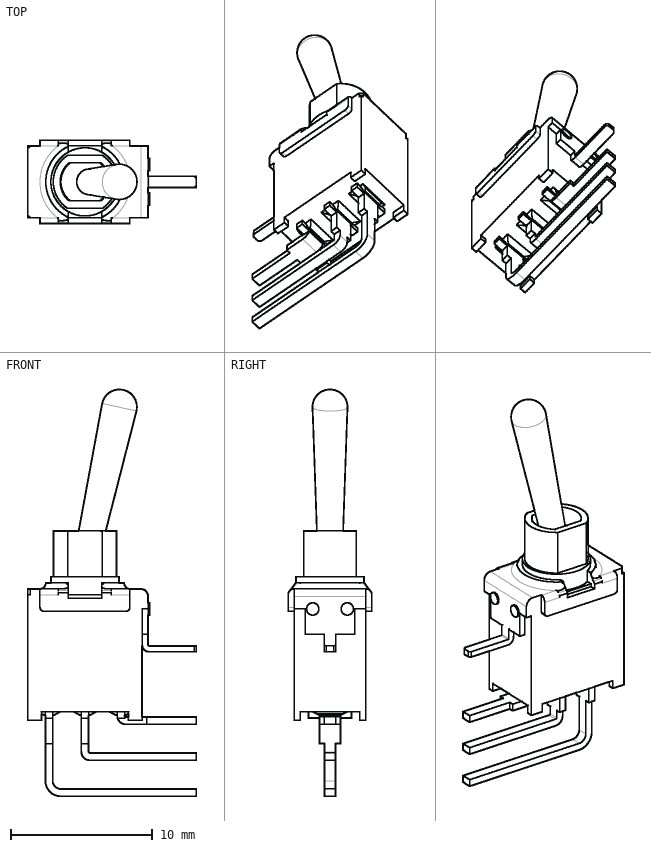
import cadquery as cq
import math


case_left = -4.06
case_right = 4.04
case_width = 5.08
case_underside = -8.69
foot_height = 0.61
foot_inner_x = 3.07
foot_inner_y = 2.10
corner_bevel = 0.2

sheet = 0.43
hood_right = case_right + sheet
hood_bottom = -1.42
hood_radius = 0.54
leg_width = 3.5
leg_wide_bottom = -3.22
rivet_diameter = 0.87
rivet_height = 0.1
rivet_y = 1.22
frame_width = 5.9
tab_half_length = 3.18
tab_bottom = -1.59
tab_corner_radius = 0.3
tab_bend_radius = 0.4
slope_half_length = 1.87
slope_top_y = 2.42
slope_bottom_z = -0.29
notch_half_width = 1.18
notch_bottom = -0.65

flange_top_radius = 2.77
flange_top = 0.43
flange_base_radius = flange_top_radius + flange_top
collar_radius = 2.41
collar_top = 0.87
bushing_radius = 2.24
bushing_flats = 3.74
bushing_top = 4.09
bore_radius = 1.75
bore_flats = 2.68

lever_angle = 12.4
pivot_z = 1.8
pivot_ball_radius = 1.7
tip_radius = 1.25
tip_distance = 11.31
lever_neck_radius = 0.86

pitch = 2.54
ground_pin_row = 4
pin_thickness = 0.53
pin_width = 0.8
pin_shank_width = 1.5
pin_shoulder_width = 3.04
shoulder_bottom = -9.13
shank_bottom = -10.93
shank_right = 4.37
pin_end = 7.88
lowest_pin_bottom = -14.66
long_pin_bend = 1.1
short_pin_bend = 0.62
ground_pin_bend = 0.48
ground_pin_bevel = 0.15

resin_base = (1.6, 2.4)
resin_tip = (0.7, 1.5)
resin_height = 0.24


def box(x0, x1, y0, y1, z0, z1):
    """Axis-aligned box between opposite corners."""
    return cq.Workplane("XY").box(x1 - x0, y1 - y0, z1 - z0, centered=False).translate((x0, y0, z0))


def centred_box(x0, x1, width, z0, z1):
    """Box that straddles the XZ plane."""
    return box(x0, x1, -width / 2, width / 2, z0, z1)


def flatted_cylinder(radius, flats, z0, z1):
    """Upright cylinder with two flats facing -Y and +Y."""
    cylinder = cq.Workplane("XY").workplane(offset=z0).circle(radius).extrude(z1 - z0)
    return cylinder.intersect(centred_box(-radius, radius, flats, z0, z1))


def make_case():
    """Rectangular case standing on four corner feet."""
    foot_bottom = case_underside - foot_height
    case = centred_box(case_left, case_right, case_width, foot_bottom, 0)
    case = case.cut(centred_box(-foot_inner_x, foot_inner_x, case_width, foot_bottom, case_underside))
    return case.cut(centred_box(case_left, case_right, 2 * foot_inner_y, foot_bottom, case_underside))


def make_covered_case():
    """Case with the frame wrapped over its rounded +X edge and two bevelled -X corners."""
    hood = centred_box(0, hood_right, case_width, hood_bottom, 0)
    covered = make_case().union(hood).edges(">X and >Z").fillet(hood_radius)
    for side in (-1, 1):
        corner_y = side * case_width / 2
        corner = (
            cq.Workplane("XY")
            .moveTo(case_left, corner_y)
            .lineTo(case_left + corner_bevel, corner_y)
            .lineTo(case_left, corner_y - side * corner_bevel)
            .close()
            .extrude(-sheet)
        )
        covered = covered.cut(corner)
    return covered


def make_leg():
    """Wide part of the frame's ground leg with two rivet heads."""
    leg = centred_box(case_right, hood_right, leg_width, leg_wide_bottom, hood_bottom)
    rivets = (
        cq.Workplane("YZ", origin=(case_right, 0, hood_bottom))
        .pushPoints([(-rivet_y, 0), (rivet_y, 0)])
        .circle(rivet_diameter / 2)
        .extrude(sheet + rivet_height)
    )
    return leg.union(rivets)


def make_slope():
    """Long ridge whose sides slope from the flange top down to the tab faces."""
    half_width = frame_width / 2
    return (
        cq.Workplane("YZ")
        .polyline(
            [
                (-half_width, tab_bottom),
                (-half_width, slope_bottom_z),
                (-slope_top_y, flange_top),
                (slope_top_y, flange_top),
                (half_width, slope_bottom_z),
                (half_width, tab_bottom),
            ]
        )
        .close()
        .extrude(case_right, both=True)
    )


def make_tabs():
    """Side tabs folded over the case, with a sloped fold near the bushing and round folds beyond."""
    tabs = centred_box(-tab_half_length, tab_half_length, frame_width, tab_bottom, 0)
    tabs = tabs.edges("|Y and <Z").fillet(tab_corner_radius)
    tabs = tabs.edges("|X and >Z").fillet(tab_bend_radius)
    middle = centred_box(-slope_half_length, slope_half_length, frame_width, tab_bottom, 0)
    return tabs.union(make_slope().intersect(middle))


def make_flange():
    """Flared rise of the frame around the bushing, trimmed by the sloped folds."""
    flare_middle = flange_top * (1 - math.sqrt(0.5))
    flange = (
        cq.Workplane("XZ")
        .lineTo(flange_base_radius, 0)
        .threePointArc((flange_top_radius + flare_middle, flare_middle), (flange_top_radius, flange_top))
        .lineTo(0, flange_top)
        .close()
        .revolve(360, (0, 0, 0), (0, 1, 0))
    )
    return flange.intersect(make_slope())


def cut_tab_notches(frame):
    """Open a notch in each tab and flange, exposing the round collar."""
    half_width = frame_width / 2
    collar = cq.Workplane("XY").workplane(offset=-sheet).circle(collar_radius).extrude(collar_top + sheet)
    slot = centred_box(-notch_half_width, notch_half_width, frame_width, -sheet, flange_top)
    frame = frame.cut(slot).union(collar)
    for side in (-1, 1):
        y0, y1 = sorted((side * case_width / 2, side * half_width))
        frame = frame.cut(box(-notch_half_width, notch_half_width, y0, y1, notch_bottom, -sheet))
    return frame


def make_bushing():
    """Double-flatted bushing with a matching bore open down to the pivot."""
    bushing = flatted_cylinder(bushing_radius, bushing_flats, 0, bushing_top)
    return bushing.cut(flatted_cylinder(bore_radius, bore_flats, pivot_z, bushing_top))


def make_lever():
    """Tapered lever with a round tip and a pivot ball, leaning toward +X."""
    lever = (
        cq.Workplane("XZ")
        .moveTo(0, 0)
        .lineTo(lever_neck_radius, 0)
        .lineTo(tip_radius, tip_distance)
        .radiusArc((0, tip_distance + tip_radius), -tip_radius)
        .close()
        .revolve(360, (0, 0, 0), (0, 1, 0))
    )
    lever = lever.union(cq.Workplane("XY").sphere(pivot_ball_radius))
    return lever.rotate((0, 0, 0), (0, 1, 0), lever_angle).translate((0, 0, pivot_z))


def bent_strip(x_left, bottom, top, thickness, bend, width):
    """L-shaped strip: down from top, round the bend, then along +X to the pin end."""
    inner_bend = bend - thickness
    diagonal = math.sqrt(0.5)
    bend_x = x_left + bend
    bend_z = bottom + bend
    profile = (
        cq.Workplane("XZ")
        .moveTo(x_left, top)
        .lineTo(x_left, bend_z)
        .threePointArc((bend_x - bend * diagonal, bend_z - bend * diagonal), (bend_x, bottom))
        .lineTo(pin_end, bottom)
        .lineTo(pin_end, bottom + thickness)
        .lineTo(bend_x, bottom + thickness)
        .threePointArc(
            (bend_x - inner_bend * diagonal, bend_z - inner_bend * diagonal),
            (x_left + thickness, bend_z),
        )
        .lineTo(x_left + thickness, top)
        .close()
    )
    return profile.extrude(width / 2, both=True)


def make_contact_pin(x_centre, bottom, bend):
    """Terminal with a shoulder at the case, a wide shank and a narrow pin."""
    x_left = x_centre - pin_thickness / 2
    pin = bent_strip(x_left, bottom, case_underside, pin_thickness, bend, pin_width)
    shank = bent_strip(x_left, bottom, case_underside, pin_thickness, bend, pin_shank_width)
    shank_zone = centred_box(x_left, shank_right, pin_shank_width, shank_bottom, case_underside)
    shoulder = centred_box(
        x_left, x_left + pin_thickness, pin_shoulder_width, shoulder_bottom, case_underside
    )
    return pin.union(shank.intersect(shank_zone)).union(shoulder)


def make_resin(x_centre):
    """Tapered heap of resin around one terminal."""
    heap = (
        cq.Workplane("XY", origin=(x_centre, 0, case_underside))
        .rect(*resin_base)
        .workplane(offset=-resin_height)
        .rect(*resin_tip)
        .loft()
    )
    return heap.intersect(
        centred_box(-foot_inner_x, foot_inner_x, case_width, case_underside - resin_height, case_underside)
    )


def make_ground_pin():
    """Thin terminal bent out from the frame leg, with bevelled end corners."""
    bottom = lowest_pin_bottom + pin_thickness / 2 + ground_pin_row * pitch - sheet / 2
    pin = bent_strip(case_right, bottom, leg_wide_bottom, sheet, ground_pin_bend, pin_width)
    return pin.edges("|Z and >X").chamfer(ground_pin_bevel)


frame = cut_tab_notches(make_covered_case().union(make_leg()).union(make_tabs()).union(make_flange()))
result = frame.union(make_bushing()).union(make_lever()).union(make_ground_pin())
for row, bend in enumerate((long_pin_bend, short_pin_bend, short_pin_bend)):
    pin_x = (row - 1) * pitch
    result = result.union(make_resin(pin_x))
    result = result.union(make_contact_pin(pin_x, lowest_pin_bottom + row * pitch, bend))